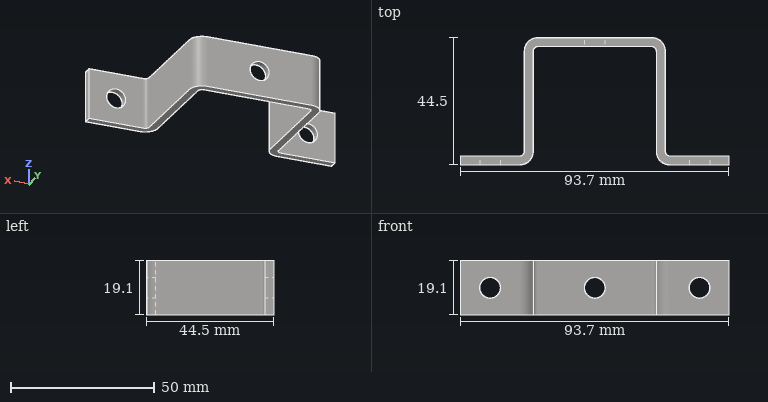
import cadquery as cq

overall_length = 93.6625
overall_depth = 44.45
strip_width = 19.05
thickness = 3.175
channel_width = 42.8625
inner_bend_radius = 1.5875
hole_diameter = 7.14375
foot_hole_offset = 36.5125

outer_bend_radius = inner_bend_radius + thickness
half_length = overall_length / 2
leg_inner_x = channel_width / 2
leg_outer_x = leg_inner_x + thickness
bridge_inner_y = overall_depth - thickness


def bent_strip():
    """Hat-shaped strip with sharp bends, feet on Y = 0 and centred in X and Z."""
    right_half = [
        (leg_inner_x, bridge_inner_y),
        (leg_inner_x, 0),
        (half_length, 0),
        (half_length, thickness),
        (leg_outer_x, thickness),
        (leg_outer_x, overall_depth),
    ]
    left_half = [(-x, y) for x, y in reversed(right_half)]
    outline = cq.Workplane("XY").polyline(right_half + left_half).close()
    return outline.extrude(strip_width / 2, both=True)


def round_bends(strip):
    """Round each of the four bends with concentric inner and outer radii."""
    inner_corners = [(leg_inner_x, bridge_inner_y), (leg_outer_x, thickness)]
    outer_corners = [(leg_outer_x, overall_depth), (leg_inner_x, 0)]
    for corners, radius in ((inner_corners, inner_bend_radius), (outer_corners, outer_bend_radius)):
        for x, y in corners:
            for side in (-1, 1):
                edge = cq.selectors.NearestToPointSelector((side * x, y, 0))
                strip = strip.edges("|Z").edges(edge).fillet(radius)
    return strip


def mounting_holes():
    """Cylinders along Y through both feet and the middle of the bridge."""
    centres = [(-foot_hole_offset, 0), (0, 0), (foot_hole_offset, 0)]
    return cq.Workplane("XZ").pushPoints(centres).circle(hole_diameter / 2).extrude(-overall_depth)


result = round_bends(bent_strip()).cut(mounting_holes())